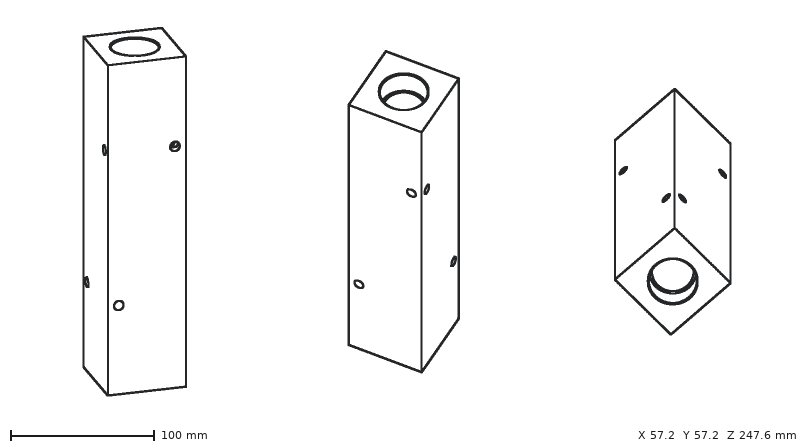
import cadquery as cq

length = 247.6
width = 57.2

bore_diameter = 29.0
counterbore_diameter = 33.5
counterbore_floor_diameter = 32.5
counterbore_depth = 16.5
mouth_chamfer = 0.7

hole_diameter = 7.0
hole_offset = 20.5
hole_height = 57.2


def bar_with_bore():
    bar = cq.Workplane("XY").box(width, width, length)
    return bar.faces(">Z").workplane().hole(bore_diameter)


def counterbore(end):
    """Cutter for one end: end is 1 for the top and -1 for the bottom."""
    radius = counterbore_diameter / 2
    mouth_radius = radius + mouth_chamfer
    face = end * length / 2
    profile = [
        (0, face),
        (mouth_radius, face),
        (radius, face - end * mouth_chamfer),
        (counterbore_floor_diameter / 2, face - end * counterbore_depth),
        (0, face - end * counterbore_depth),
    ]
    return cq.Workplane("XZ").polyline(profile).close().revolve(360, (0, 0, 0), (0, 1, 0))


def cross_holes(plane):
    """Cutters through the whole width, placed diagonally opposite each other."""
    centres = [(side * hole_offset, side * hole_height) for side in (-1, 1)]
    return cq.Workplane(plane).pushPoints(centres).circle(hole_diameter / 2).extrude(width, both=True)


result = bar_with_bore()
for end in (-1, 1):
    result = result.cut(counterbore(end))
for plane in ("XZ", "YZ"):
    result = result.cut(cross_holes(plane))